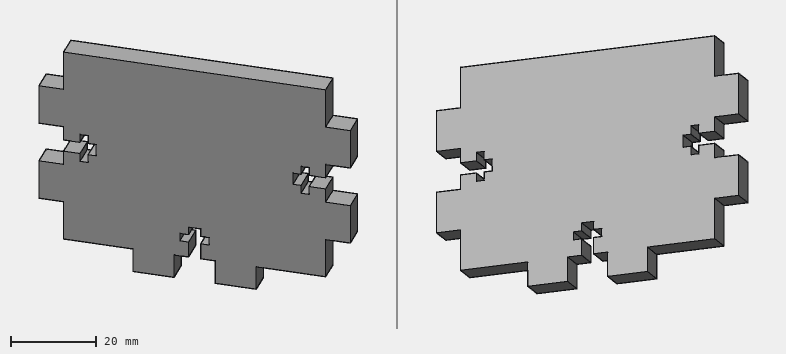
import cadquery as cq

overall_length = 76.0
overall_height = 56.0
thickness = 6.0

tab_width = 10.0
tab_projection = thickness
tab_offset = tab_width

screw_slot_width = 3.0
screw_slot_depth = 8.0
nut_width = 7.15
nut_thickness = 2.0
nut_setback = 4.0

body_length = overall_length - 2 * tab_projection
body_height = overall_height - tab_projection
body_center_z = tab_projection / 2


def block(x_size, z_size, x_center, z_center):
    """Full-thickness block centred on the XZ plane."""
    return cq.Workplane("XY").box(x_size, thickness, z_size).translate((x_center, 0, z_center))


def edge_tabs():
    """Pair of tabs standing out below an edge that lies along X at the origin."""
    left = block(tab_width, tab_projection, -tab_offset, -tab_projection / 2)
    right = block(tab_width, tab_projection, tab_offset, -tab_projection / 2)
    return left.add(right).combine()


def nut_slot():
    """Cross-shaped cutter running upward from an edge along X at the origin."""
    screw_slot = block(screw_slot_width, screw_slot_depth, 0, screw_slot_depth / 2)
    nut_pocket = block(nut_width, nut_thickness, 0, nut_setback + nut_thickness / 2)
    return screw_slot.union(nut_pocket)


def place_on_edge(shape, angle, x, z):
    """Turn a bottom-edge feature about Y and move it to the middle of an edge."""
    return shape.rotate((0, 0, 0), (0, 1, 0), angle).translate((x, 0, z))


joint_edges = [
    (0, 0, body_center_z - body_height / 2),
    (90, -body_length / 2, body_center_z),
    (-90, body_length / 2, body_center_z),
]

result = block(body_length, body_height, 0, body_center_z)
for angle, x, z in joint_edges:
    result = result.union(place_on_edge(edge_tabs(), angle, x, z))
    result = result.cut(place_on_edge(nut_slot(), angle, x, z))